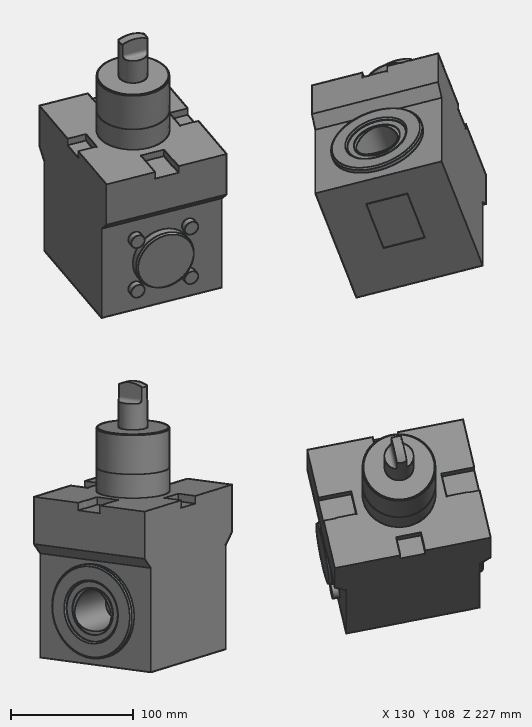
import cadquery as cq
import math

head_width = 130.0
base_width = 111.2
depth = 108.0
housing_height = 135.5
shoulder_top = 96.2
shoulder_bottom = shoulder_top - (head_width - base_width) / 2

pad_left = -33.0
pad_length = 46.8
pad_depth = 35.2
pad_thickness = 0.7

shank_foot_diameter = 60.0
shank_diameter = 59.7
shank_seam = 155.3
shank_top = 188.6
shank_chamfer = 1.0
shaft_diameter = 23.8
tongue_bottom = 210.2
tongue_width = 8.2
tongue_fillet = 3.5
tip_height = 227 - pad_thickness
tip_crown = 3.0

slot_width = 20.7
slot_depth = 6.4
side_slot_length = 27.5
end_slot_length = 16.5
relief_length = 9.0
relief_ramp = 1.8
relief_width = 0.5

spindle_height = 45.5
collar_diameter = 70.0
collar_length = 2.0
flange_diameter = 78.0
flange_length = 4.5
flange_chamfer = 1.4
recess_mouth_diameter = 52.7
recess_diameter = 50.0
recess_depth = 2.0
recess_chamfer = (recess_mouth_diameter - recess_diameter) / 2
seat_diameter = 39.3
seat_depth = 0.7
lobe_mean_radius = 17.5
lobe_height = 1.02
lobe_points = 24
socket_depth = 45.5
socket_end_scale = 0.95

cover_diameter = 52.0
cover_length = 8.2
cover_face_diameter = 50.0
cover_bevel_length = 2.0
screw_diameter = 12.0
screw_length = 6.0
screw_spacing = 48.1

base_half = base_width / 2
head_half = head_width / 2
flange_face = -(base_half + collar_length + flange_length)


def x_plane(x):
    """Plane facing +X, centred on the spindle axis; its local axes are Y and Z."""
    return cq.Workplane("YZ", origin=(x, 0, spindle_height))


def make_housing():
    profile = [
        (-base_half, 0),
        (base_half, 0),
        (base_half, shoulder_bottom),
        (head_half, shoulder_top),
        (head_half, housing_height),
        (-head_half, housing_height),
        (-head_half, shoulder_top),
        (-base_half, shoulder_bottom),
    ]
    housing = cq.Workplane("XZ").polyline(profile).close().extrude(depth / 2, both=True)
    pad = cq.Workplane("XY").box(pad_length, pad_depth, pad_thickness, centered=(False, True, False))
    return housing.union(pad.translate((pad_left, 0, -pad_thickness)))


def make_slots():
    floor = housing_height - slot_depth
    centered = (True, True, False)
    slots = cq.Workplane("XY")
    for side in (-1, 1):
        outer_x = side * head_half
        relief_x = side * (head_half - relief_length)
        ramp_x = relief_x - side * relief_ramp
        inner_x = side * (head_half - side_slot_length)
        outline = [
            (inner_x, -slot_width / 2),
            (outer_x, -slot_width / 2),
            (outer_x, slot_width / 2 + relief_width),
            (relief_x, slot_width / 2 + relief_width),
            (ramp_x, slot_width / 2),
            (inner_x, slot_width / 2),
        ]
        side_slot = cq.Workplane("XY", origin=(0, 0, floor)).polyline(outline).close()
        slots = slots.union(side_slot.extrude(slot_depth))

        end_y = side * (depth - end_slot_length) / 2
        end_slot = cq.Workplane("XY").box(slot_width, end_slot_length, slot_depth, centered)
        slots = slots.union(end_slot.translate((0, end_y, floor)))
    return slots


def make_shank():
    foot = cq.Workplane("XY", origin=(0, 0, housing_height)).circle(shank_foot_diameter / 2)
    upper = cq.Workplane("XY", origin=(0, 0, shank_seam)).circle(shank_diameter / 2)
    upper = upper.extrude(shank_top - shank_seam).faces(">Z").chamfer(shank_chamfer)
    return foot.extrude(shank_seam - housing_height).union(upper)


def make_shaft():
    radius = shaft_diameter / 2
    shaft = cq.Workplane("XY", origin=(0, 0, shank_top)).circle(radius).extrude(tip_height - shank_top)

    root = tongue_width / 2
    bend = tongue_fillet * (1 - math.sqrt(0.5))
    flats = (
        cq.Workplane("XZ")
        .moveTo(-radius, shank_top)
        .lineTo(radius, shank_top)
        .lineTo(radius, tongue_bottom)
        .lineTo(root + tongue_fillet, tongue_bottom)
        .threePointArc((root + bend, tongue_bottom + bend), (root, tongue_bottom + tongue_fillet))
        .lineTo(root, tip_height)
        .lineTo(-root, tip_height)
        .lineTo(-root, tongue_bottom + tongue_fillet)
        .threePointArc((-root - bend, tongue_bottom + bend), (-root - tongue_fillet, tongue_bottom))
        .lineTo(-radius, tongue_bottom)
        .close()
        .extrude(radius, both=True)
    )
    crown = (
        cq.Workplane("YZ")
        .moveTo(-radius, shank_top)
        .lineTo(radius, shank_top)
        .lineTo(radius, tip_height - tip_crown)
        .threePointArc((0, tip_height), (-radius, tip_height - tip_crown))
        .close()
        .extrude(radius, both=True)
    )
    return shaft.intersect(flats).intersect(crown)


def make_flange():
    collar = x_plane(-base_half).circle(collar_diameter / 2).extrude(-collar_length)
    flange = x_plane(flange_face).circle(flange_diameter / 2).extrude(flange_length)
    return collar.union(flange.faces("<X").chamfer(flange_chamfer))


def lobe_point(index, scale):
    """Point on the three-lobed socket outline, with one lobe pointing up."""
    angle = 2 * math.pi * index / lobe_points
    radius = scale * (lobe_mean_radius + lobe_height * math.cos(3 * angle))
    return (radius * math.sin(angle), radius * math.cos(angle))


def make_socket():
    recess = x_plane(flange_face).circle(recess_diameter / 2).extrude(recess_depth)
    mouth = (
        x_plane(flange_face)
        .circle(recess_mouth_diameter / 2)
        .workplane(offset=recess_chamfer)
        .circle(recess_diameter / 2)
        .loft()
    )
    seat = x_plane(flange_face + recess_depth).circle(seat_diameter / 2).extrude(seat_depth)
    mouth_outline = [lobe_point(index, 1) for index in range(lobe_points)]
    floor_outline = [lobe_point(index, socket_end_scale) for index in range(lobe_points)]
    lobes = (
        x_plane(flange_face + recess_depth)
        .spline(mouth_outline, periodic=True)
        .wire()
        .workplane(offset=socket_depth)
        .spline(floor_outline, periodic=True)
        .wire()
        .loft()
    )
    return recess.union(mouth).union(seat).union(lobes)


def make_cover():
    rim_length = cover_length - cover_bevel_length
    rim = x_plane(base_half).circle(cover_diameter / 2).extrude(rim_length)
    bevel = (
        x_plane(base_half + rim_length)
        .circle(cover_diameter / 2)
        .workplane(offset=cover_bevel_length)
        .circle(cover_face_diameter / 2)
        .loft()
    )
    screws = (
        x_plane(base_half)
        .rect(screw_spacing, screw_spacing, forConstruction=True)
        .vertices()
        .circle(screw_diameter / 2)
        .extrude(screw_length)
    )
    return rim.union(bevel).union(screws)


result = (
    make_housing()
    .cut(make_slots())
    .union(make_shank())
    .union(make_shaft())
    .union(make_flange())
    .union(make_cover())
    .cut(make_socket())
)